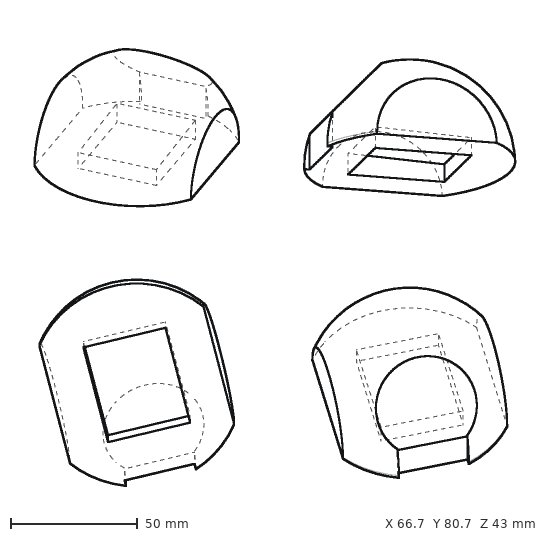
import cadquery as cq
import math

radius = 41.6
width = 66.7
skirt = 4.0
base_tilt = 2.1

flat_tilt = 47.8
flat_distance = 36.4

notch_width = 28.4
notch_wall_y = 36.85

pocket_width = width / 2
pocket_length = 40.0
pocket_depth = 8.1

cutter_size = 4 * radius


def make_dome():
    ball = cq.Workplane("XY").sphere(radius)
    upper_half = cq.Workplane("XY").box(
        cutter_size, cutter_size, cutter_size, centered=(True, True, False)
    )
    lower_skirt = cq.Workplane("XY").circle(radius).extrude(-skirt)
    sides = cq.Workplane("XY").box(width, cutter_size, cutter_size)
    return ball.intersect(upper_half).union(lower_skirt).intersect(sides)


def make_base_cutter():
    below = cq.Workplane("XY").box(
        cutter_size, cutter_size, cutter_size, centered=(True, True, False)
    ).translate((0, 0, -cutter_size))
    return below.rotate((0, 0, 0), (1, 0, 0), -base_tilt)


def make_flat_cutter():
    angle = math.radians(flat_tilt)
    normal = cq.Vector(0, math.sin(angle), math.cos(angle))
    plane = cq.Plane(origin=normal * flat_distance, xDir=(1, 0, 0), normal=normal)
    return cq.Workplane(plane).rect(cutter_size, cutter_size).extrude(radius)


def make_notch_cutter():
    return cq.Workplane("XY").box(
        notch_width, radius, cutter_size, centered=(True, False, True)
    ).translate((0, notch_wall_y, 0))


def make_pocket_cutter():
    return cq.Workplane("XY").box(pocket_width, pocket_length, 2 * pocket_depth)


result = (
    make_dome()
    .cut(make_base_cutter())
    .cut(make_flat_cutter())
    .cut(make_notch_cutter())
    .cut(make_pocket_cutter())
)